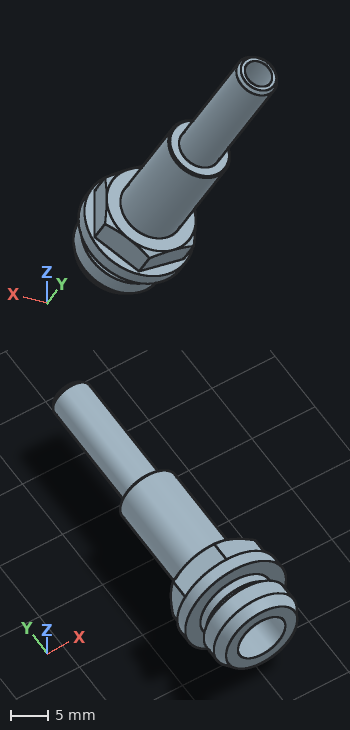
import cadquery as cq
import math

thread_dia = 13.16
neck_dia = 11.2
nose_face_dia = 11.3
nose_chamfer_angle = 30.0
nose_chamfer_length = (thread_dia - nose_face_dia) / 2 / math.tan(math.radians(nose_chamfer_angle))
neck_start = 5.1
runout_start = neck_start - (thread_dia - neck_dia) / 2

collar_dia = 16.0
collar_start = 6.5
collar_thickness = 2.0
collar_end = collar_start + collar_thickness
hex_across_flats = 13.0
hex_length = 4.0
hex_end = collar_end + hex_length
hex_across_corners = hex_across_flats / math.cos(math.radians(30))
hex_chamfer_angle = 30.0

shoulder_dia = 9.0
shoulder_length = 16.0
shoulder_end = hex_end + shoulder_length
shoulder_chamfer = 0.2
tip_dia = 6.0
tip_chamfer_length = 0.6
tip_chamfer_depth = 0.4
total_length = 48.0

bore_dia = 7.5
bore_depth = hex_end
through_dia = 4.0
bore_cone_angle = 120.0
bore_cone_length = (bore_dia - through_dia) / 2 / math.tan(math.radians(bore_cone_angle / 2))


def revolve_about_y(profile):
    """Solid of revolution from (radius, station) points, closed along the Y axis."""
    stations = [station for _, station in profile]
    outline = [(0, stations[0])] + profile + [(0, stations[-1])]
    return cq.Workplane("XY").polyline(outline).close().revolve(360, (0, 0), (0, 1))


def turned_nose():
    """Threaded nose with its undercut neck, up to the far side of the collar."""
    return revolve_about_y([
        (nose_face_dia / 2, 0),
        (thread_dia / 2, nose_chamfer_length),
        (thread_dia / 2, runout_start),
        (neck_dia / 2, neck_start),
        (neck_dia / 2, collar_start),
        (collar_dia / 2, collar_start),
        (collar_dia / 2, collar_end),
    ])


def hexagon():
    """Hexagon with flats facing +X and -X, its rear corners bevelled by a cone."""
    prism = (
        cq.Workplane("XZ", origin=(0, collar_end, 0))
        .transformed(rotate=(0, 0, 90))
        .polygon(6, hex_across_corners)
        .extrude(-hex_length)
    )
    cone_rise = (collar_dia - hex_across_flats) / 2 * math.tan(math.radians(hex_chamfer_angle))
    envelope = revolve_about_y([
        (collar_dia / 2, collar_end),
        (collar_dia / 2, hex_end - cone_rise),
        (hex_across_flats / 2, hex_end),
    ])
    return prism.intersect(envelope)


def stem():
    """Cylindrical shoulder followed by the thinner tip, both chamfered at their far ends."""
    return revolve_about_y([
        (shoulder_dia / 2, collar_end),
        (shoulder_dia / 2, shoulder_end - shoulder_chamfer),
        (shoulder_dia / 2 - shoulder_chamfer, shoulder_end),
        (tip_dia / 2, shoulder_end),
        (tip_dia / 2, total_length - tip_chamfer_length),
        (tip_dia / 2 - tip_chamfer_depth, total_length),
    ])


def stepped_bore():
    """Cutter for the wide bore, its conical bottom and the narrow hole through the tip."""
    return revolve_about_y([
        (bore_dia / 2, 0),
        (bore_dia / 2, bore_depth),
        (through_dia / 2, bore_depth + bore_cone_length),
        (through_dia / 2, total_length),
    ])


result = turned_nose().union(hexagon()).union(stem()).cut(stepped_bore())